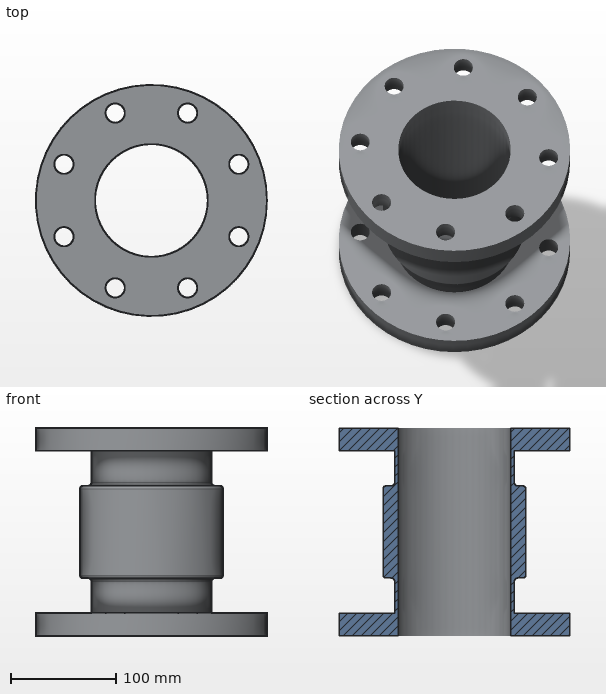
import cadquery as cq

flange_diameter = 220.0
overall_height = 198.0

flange_thickness = 22.0
bolt_circle_diameter = 180.0
bolt_hole_diameter = 18.0
bolt_count = 8

pipe_diameter = 114.5
bore_diameter = 107.0
sleeve_diameter = 136.5
sleeve_length = 88.0
sleeve_fillet = 3.0

half_height = overall_height / 2
half_sleeve = sleeve_length / 2


def cylinder(diameter, bottom, height):
    """Upright cylinder on the Z axis, starting at height `bottom`."""
    return cq.Workplane("XY").workplane(offset=bottom).circle(diameter / 2).extrude(height)


def make_filleted_pipe():
    """Pipe with the sleeve, rounded at the sleeve rims and in the corners beside the pipe."""
    pipe = cylinder(pipe_diameter, -half_height, overall_height)
    body = pipe.union(cylinder(sleeve_diameter, -half_sleeve, sleeve_length))
    sleeve_ends = cq.selectors.BoxSelector(
        (-sleeve_diameter, -sleeve_diameter, -half_sleeve - sleeve_fillet),
        (sleeve_diameter, sleeve_diameter, half_sleeve + sleeve_fillet),
    )
    return body.edges("%CIRCLE").edges(sleeve_ends).fillet(sleeve_fillet)


def make_flange(bottom):
    """Flange disc with bolt holes placed evenly on either side of the X and Y axes."""
    half_pitch_angle = 360 / bolt_count / 2
    bolt_holes = (
        cq.Workplane("XY")
        .workplane(offset=bottom)
        .polarArray(bolt_circle_diameter / 2, half_pitch_angle, 360, bolt_count)
        .circle(bolt_hole_diameter / 2)
        .extrude(flange_thickness)
    )
    return cylinder(flange_diameter, bottom, flange_thickness).cut(bolt_holes)


lower_flange = make_flange(-half_height)
upper_flange = make_flange(half_height - flange_thickness)
bore = cylinder(bore_diameter, -half_height, overall_height)

result = make_filleted_pipe().union(lower_flange).union(upper_flange).cut(bore)